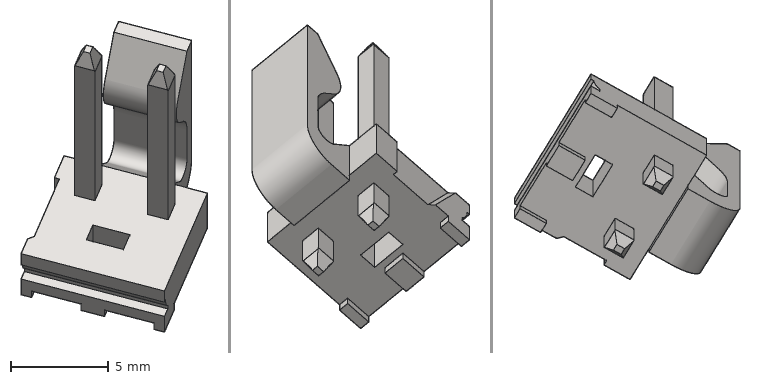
import cadquery as cq


body_width = 7.78
body_height = 2.8
body_back = 1.77
body_front = -5.12
left_side = -body_width / 2

foot_height = 0.51
foot_depth = 1.57
end_foot_width = 0.58
middle_foot_width = 1.28

groove_bottom = 0.77
groove_arc_bottom = 1.02
groove_top = 1.9
groove_depth = 0.53
groove_lip_depth = 0.17
groove_arc_middle = (body_front + 0.27, 1.41)

window_width = 2.0
window_depth = 1.04
window_y = -2.65

recess_depth = 0.27
recess_back = 0.22
recess_front_top = -4.08
recess_front_bottom = -2.6

pin_pitch = 3.97
pin_size = 1.12
pin_bottom = -2.86
pin_length = 17.02
tip_width_x = 0.35
tip_height_x = 0.99
tip_width_y = 0.46
tip_height_y = 0.9

latch_width = pin_pitch
latch_back = 4.88
latch_thickness = 0.77
latch_top = 10.8
latch_inner = latch_back - latch_thickness
ramp_low_z = 5.23
nose_y = 1.92
nose_radius = 1.77
neck_radius = 1.87
trough_radius = 0.68
heel_radius = 1.79


def side_extrusion(profile, width):
    """Extrude a closed YZ profile symmetrically along X."""
    return profile.close().extrude(width / 2, both=True)


def make_housing():
    profile = (
        cq.Workplane("YZ")
        .moveTo(body_back, 0)
        .lineTo(body_back, body_height)
        .lineTo(body_front, body_height)
        .lineTo(body_front, groove_top)
        .lineTo(body_front + groove_lip_depth, groove_top)
        .threePointArc(groove_arc_middle, (body_front + groove_depth, groove_arc_bottom))
        .lineTo(body_front + groove_depth, groove_bottom)
        .lineTo(body_front, groove_bottom)
        .lineTo(body_front, 0)
    )
    window = cq.Workplane("XY").center(0, window_y).rect(window_width, window_depth).extrude(body_height)
    return side_extrusion(profile, body_width).cut(window)


def make_feet():
    end_x = (body_width - end_foot_width) / 2
    feet = cq.Workplane("XY")
    for x, width in ((-end_x, end_foot_width), (0, middle_foot_width), (end_x, end_foot_width)):
        foot = cq.Workplane("XY").center(x, body_front + foot_depth / 2).rect(width, foot_depth)
        feet = feet.add(foot.extrude(-foot_height))
    return feet.combine()


def make_side_recess():
    """Cutter with a square back wall and a 45 degree front wall that leans forward going up."""
    def outline(front):
        return [
            (left_side, recess_back),
            (left_side + recess_depth, recess_back),
            (left_side + recess_depth, front + recess_depth),
            (left_side, front),
        ]

    return (
        cq.Workplane("XY")
        .polyline(outline(recess_front_bottom))
        .close()
        .workplane(offset=body_height)
        .polyline(outline(recess_front_top))
        .close()
        .loft(ruled=True)
    )


def pin_prism(plane, tip_width, tip_height):
    """Bar with both ends tapered as seen square to the given vertical plane."""
    pin_top = pin_bottom + pin_length
    half, tip = pin_size / 2, tip_width / 2
    right_edge = [
        (tip, pin_bottom),
        (half, pin_bottom + tip_height),
        (half, pin_top - tip_height),
        (tip, pin_top),
    ]
    left_edge = [(-across, z) for across, z in reversed(right_edge)]
    return cq.Workplane(plane).polyline(right_edge + left_edge).close().extrude(pin_size / 2, both=True)


def make_pin():
    return pin_prism("XZ", tip_width_x, tip_height_x).intersect(pin_prism("YZ", tip_width_y, tip_height_y))


def make_latch():
    nose_z = ramp_low_z + latch_inner - nose_y
    trough_z = body_height - (latch_inner - body_back)
    profile = cq.Workplane("YZ").polyline([
        (body_back, -foot_height),
        (latch_back, -foot_height),
        (latch_back, latch_top),
        (latch_inner, latch_top),
        (nose_y, nose_z),
        (latch_inner, ramp_low_z),
        (latch_inner, trough_z),
        (body_back, body_height),
    ])
    latch = side_extrusion(profile, latch_width)
    rounded_corners = (
        (latch_back, -foot_height, heel_radius),
        (nose_y, nose_z, nose_radius),
        (latch_inner, ramp_low_z, neck_radius),
        (latch_inner, trough_z, trough_radius),
    )
    for y, z, radius in rounded_corners:
        latch = latch.edges(cq.selectors.NearestToPointSelector((0, y, z))).fillet(radius)
    return latch


result = make_housing().union(make_feet()).cut(make_side_recess()).union(make_latch())
pin = make_pin()
for pin_x in (-pin_pitch / 2, pin_pitch / 2):
    result = result.union(pin.translate((pin_x, 0, 0)))